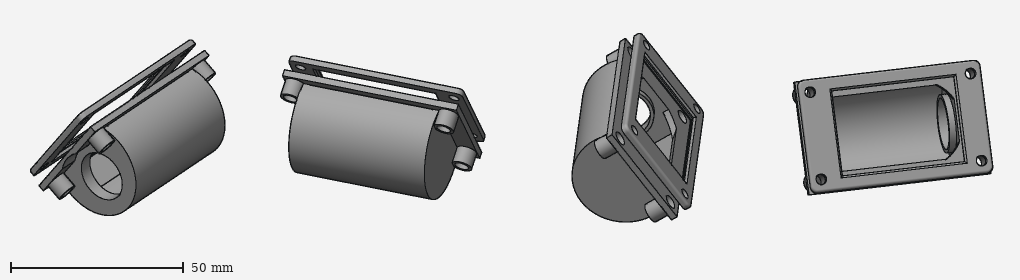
import cadquery as cq

TILT = 55

LENGTH = 54
WIDTH = 33.0
SCREW_X = 12.75
SCREW_Y = 23.8
SCREW_POINTS = [(sx * SCREW_X, sy * SCREW_Y) for sx in (-1, 1) for sy in (-1, 1)]

FLANGE_THICKNESS = 2.0
BARREL_RADIUS = 15.0
BARREL_DEPTH = 8.0
BARREL_LENGTH = 42.1
BARREL_END = BARREL_LENGTH / 2

CAVITY_RADIUS = 13.5
END_WALL = 2.05
CAVITY_Y_MAX = BARREL_END - END_WALL
CAVITY_Y_MIN = -CAVITY_Y_MAX
MOUTH_RADIUS = 12.75
MOUTH_ARC_Y = -7.95
MOUTH_Y_MAX = 17.3

PORT_DEPTH = 11.0
PORT_DIAMETER = 15.0
COLLAR_DIAMETER = 17.05
COLLAR_LENGTH = 2.0
NOTCH_RADIUS = 10.0

BOSS_DIAMETER = 6.0
BOSS_LENGTH = 5.0
BOSS_BORE = 4.2

COVER_GAP = 3.15
COVER_THICKNESS = 2.0
COVER_CORNER_RADIUS = 1.9
COVER_EDGE_FILLET = 0.75
COVER_HOLE = 3.1
WINDOW_WIDTH = 24.85
WINDOW_LENGTH = 36.3
WINDOW_Y = -0.75
WINDOW_CHAMFER = 0.6
SEAT_MARGIN = 0.95
SEAT_DEPTH = 0.95


def rod_along_y(radius, depth, y_start, y_end):
    """Cylinder parallel to Y with its axis the given depth behind the flange face."""
    plane = cq.Plane(origin=(0, y_start, -depth), xDir=(1, 0, 0), normal=(0, 1, 0))
    return cq.Workplane(plane).circle(radius).extrude(y_end - y_start)


def block(width, y_min, y_max, depth_top, depth_bottom):
    """Box centred across X between two Y positions and two depths."""
    return (
        cq.Workplane("XY", origin=(0, (y_min + y_max) / 2, -depth_bottom))
        .rect(width, y_max - y_min)
        .extrude(depth_bottom - depth_top)
    )


def make_flange():
    """Flat flange, relieved at its back beside the cable port."""
    flange = block(WIDTH, -LENGTH / 2, LENGTH / 2, 0, FLANGE_THICKNESS)
    return flange.cut(rod_along_y(NOTCH_RADIUS, PORT_DEPTH, -LENGTH / 2, -BARREL_END))


def make_barrel():
    """Round barrel, cut off flat at the flange face."""
    barrel = rod_along_y(BARREL_RADIUS, BARREL_DEPTH, -BARREL_END, BARREL_END)
    front_trim = block(2 * BARREL_RADIUS, -BARREL_END, BARREL_END, -BARREL_RADIUS, 0)
    return barrel.cut(front_trim)


def make_cavity():
    """Round cavity with a mouth rounded at the port end and a straight-sided pocket behind it."""
    cavity = rod_along_y(CAVITY_RADIUS, BARREL_DEPTH, CAVITY_Y_MIN, CAVITY_Y_MAX)
    mouth_layer = block(2 * CAVITY_RADIUS, CAVITY_Y_MIN, CAVITY_Y_MAX, -CAVITY_RADIUS, FLANGE_THICKNESS)
    mouth = block(2 * MOUTH_RADIUS, MOUTH_ARC_Y, MOUTH_Y_MAX, 0, FLANGE_THICKNESS).union(
        cq.Workplane("XY", origin=(0, MOUTH_ARC_Y, 0)).circle(MOUTH_RADIUS).extrude(-FLANGE_THICKNESS)
    )
    pocket = block(2 * CAVITY_RADIUS, CAVITY_Y_MIN, CAVITY_Y_MAX, FLANGE_THICKNESS, PORT_DEPTH)
    return cavity.cut(mouth_layer).union(cavity.intersect(mouth)).union(pocket)


def make_housing():
    housing = make_flange().union(make_barrel())
    bosses = (
        cq.Workplane("XY", origin=(0, 0, -FLANGE_THICKNESS))
        .pushPoints(SCREW_POINTS)
        .circle(BOSS_DIAMETER / 2)
        .extrude(-BOSS_LENGTH)
    )
    boss_bores = (
        cq.Workplane("XY")
        .pushPoints(SCREW_POINTS)
        .circle(BOSS_BORE / 2)
        .extrude(-FLANGE_THICKNESS - BOSS_LENGTH)
    )
    collar = rod_along_y(COLLAR_DIAMETER / 2, PORT_DEPTH, CAVITY_Y_MIN, CAVITY_Y_MIN + COLLAR_LENGTH)
    port = rod_along_y(PORT_DIAMETER / 2, PORT_DEPTH, -BARREL_END, CAVITY_Y_MIN + COLLAR_LENGTH)
    return housing.union(bosses).cut(boss_bores).cut(make_cavity()).union(collar).cut(port)


def make_cover():
    """Rounded frame with a chamfered window, held off the flange face."""
    cover = (
        cq.Workplane("XY", origin=(0, 0, COVER_GAP))
        .rect(WIDTH, LENGTH)
        .extrude(COVER_THICKNESS)
        .edges("|Z")
        .fillet(COVER_CORNER_RADIUS)
        .faces(">Z")
        .edges()
        .fillet(COVER_EDGE_FILLET)
    )
    window = (
        cq.Workplane("XY", origin=(0, WINDOW_Y, COVER_GAP))
        .rect(WINDOW_WIDTH, WINDOW_LENGTH)
        .extrude(COVER_THICKNESS)
    )
    window_bevel = (
        cq.Workplane("XY", origin=(0, WINDOW_Y, COVER_GAP + COVER_THICKNESS))
        .rect(WINDOW_WIDTH + 2 * WINDOW_CHAMFER, WINDOW_LENGTH + 2 * WINDOW_CHAMFER)
        .extrude(-WINDOW_CHAMFER, taper=45)
    )
    window_seat = (
        cq.Workplane("XY", origin=(0, WINDOW_Y, COVER_GAP))
        .rect(WINDOW_WIDTH + 2 * SEAT_MARGIN, WINDOW_LENGTH + 2 * SEAT_MARGIN)
        .extrude(SEAT_DEPTH)
    )
    holes = (
        cq.Workplane("XY", origin=(0, 0, COVER_GAP))
        .pushPoints(SCREW_POINTS)
        .circle(COVER_HOLE / 2)
        .extrude(COVER_THICKNESS)
    )
    return cover.cut(window).cut(window_bevel).cut(window_seat).cut(holes)


def tilt(body):
    return body.rotate((0, 0, 0), (0, 1, 0), -TILT)


housing = tilt(make_housing())
cover = tilt(make_cover())

result = cq.Compound.makeCompound([housing.val(), cover.val()])